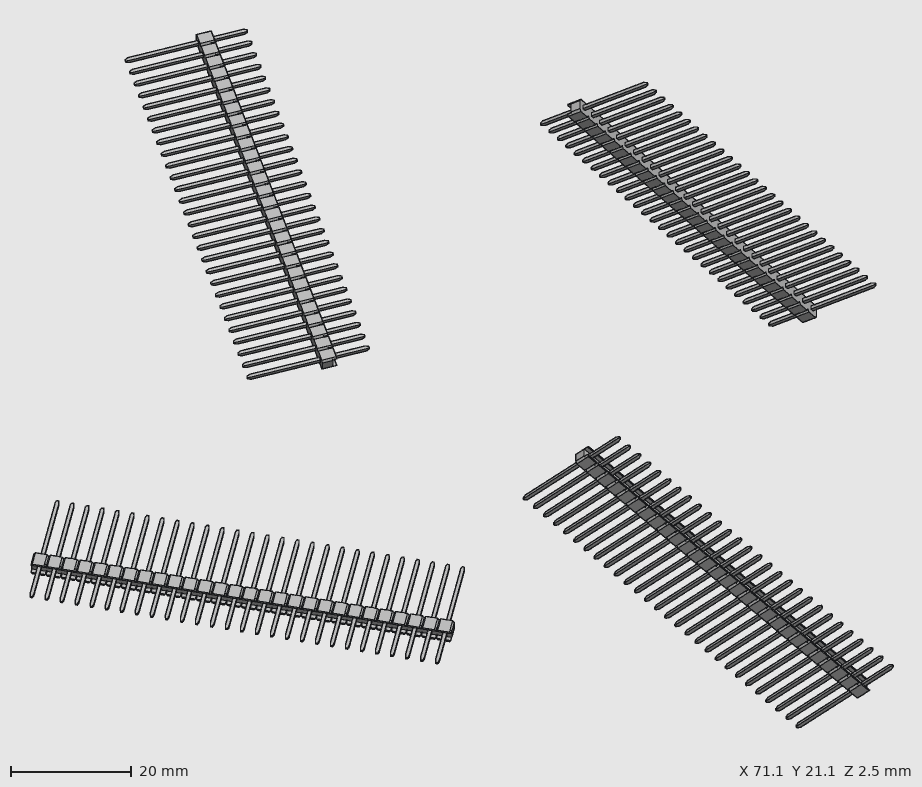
import cadquery as cq

pin_count = 28
body_length = 71.1
body_height = 2.5
pitch = body_length / pin_count
body_depth = pitch

bevel_width = 0.3
bevel_height = 0.4

recess_depth = 0.7
lip_thickness = 0.35

pin_length = 21.1
pin_size = 0.65
tip_size = 0.32
tip_length = 0.6
pin_offset = -0.11
pin_back_length = 6.0

body_back_y = pin_length / 2 - pin_back_length

cell_centres = [(index + 0.5) * pitch - body_length / 2 for index in range(pin_count)]


def make_strip():
    """Strip of bevelled cells, with a V notch above and below every joint."""
    top = body_height / 2
    shoulder = top - bevel_height
    half_flat = pitch / 2 - bevel_width

    upper_edge = [(-body_length / 2, shoulder)]
    for x in cell_centres:
        upper_edge.append((x - half_flat, top))
        upper_edge.append((x + half_flat, top))
        upper_edge.append((x + pitch / 2, shoulder))
    lower_edge = [(x, -z) for x, z in reversed(upper_edge)]

    return (
        cq.Workplane("XZ", origin=(0, body_back_y, 0))
        .polyline(upper_edge + lower_edge)
        .close()
        .extrude(body_depth)
    )


def make_recess():
    """Full-length channel in the +Y face of the strip."""
    recess_height = body_height - 2 * lip_thickness
    recess_y = body_back_y - recess_depth / 2
    return cq.Workplane("XY", origin=(0, recess_y, 0)).box(body_length, recess_depth, recess_height)


def make_pin():
    """Square pin along Y with a tapered tip at both ends, centred on the origin."""
    half_shaft = pin_length / 2 - tip_length
    shaft = cq.Workplane("XY").box(pin_size, 2 * half_shaft, pin_size)
    front_tip = (
        cq.Workplane("XZ", origin=(0, -half_shaft, 0))
        .rect(pin_size, pin_size)
        .workplane(offset=tip_length)
        .rect(tip_size, tip_size)
        .loft(ruled=True)
    )
    back_tip = front_tip.mirror("XZ")
    return shaft.union(front_tip).union(back_tip)


pin_positions = [(x + pin_offset, 0) for x in cell_centres]
pin = make_pin().val()
pins = cq.Workplane("XY").pushPoints(pin_positions).eachpoint(lambda place: pin.moved(place))

result = make_strip().cut(make_recess()).union(pins)